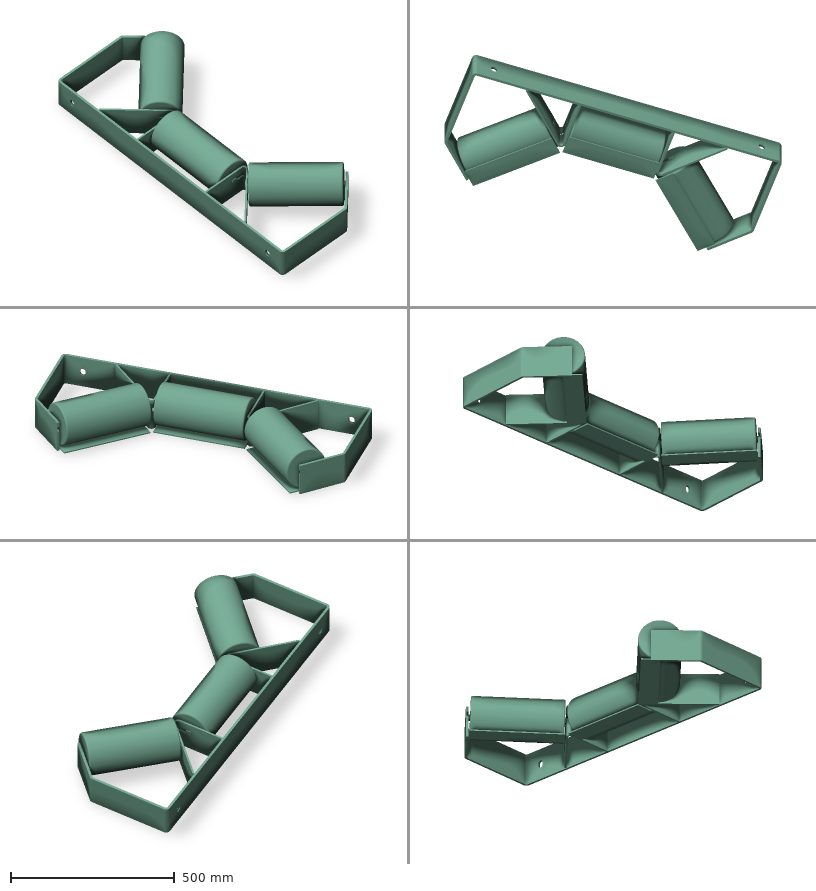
import cadquery as cq
import math

frame_strip = 8.0
bracket_strip = 6.0
height = 102.0
bend_radius = 13.0
ROOT_HALF = math.sqrt(0.5)

half_width = 500.0
side_height = 273.0
arm_length = 154.0
bolt_slot_x = 433.0
bolt_slot_width = 19.0
bolt_slot_length = 24.0
bolt_slot_z = 51.0

roller_diameter = 135.0
roller_length = 290.0
rim_radius = 5.0
center_roller_y = 126.0
center_roller_z = 68.0
wing_roller_x = 299.0
wing_roller_y = 250.0
wing_roller_z = 72.0
wing_tilt = 2.0
arm_spacing = 297.0
shaft_length = 314.0
shaft_diameter = 20.0
shaft_flats = 15.0

plate_length = 295.0
plate_width = 59.0
plate_thickness = 4.0


def bent_strip(outline, strip):
    """Upright strip whose outer face follows outline; its thickness lies to the left."""
    normals = []
    for (x0, y0), (x1, y1) in zip(outline, outline[1:]):
        length = math.hypot(x1 - x0, y1 - y0)
        normals.append(((y0 - y1) / length, (x1 - x0) / length))
    before = normals[:1] + normals
    after = normals + normals[-1:]
    inside = []
    for (x, y), (ax, ay), (bx, by) in zip(outline, before, after):
        reach = strip / (1 + ax * bx + ay * by)
        inside.append((x + reach * (ax + bx), y + reach * (ay + by)))
    body = cq.Workplane("XY").polyline(outline + inside[::-1]).close().extrude(height)
    for corners, radius in ((outline, bend_radius), (inside, bend_radius - strip)):
        for x, y in corners[1:-1]:
            edge = cq.selectors.NearestToPointSelector((x, y, height / 2))
            body = body.edges(edge).fillet(radius)
    return body


def axis_workplane(middle, axis, length):
    """Workplane square to a roller axis at the start of a centred length.

    Its local X is level and points away from the frame's base; its local Y points up.
    """
    level = cq.Vector(0, 0, 1).cross(axis)
    return cq.Workplane(cq.Plane(origin=middle - axis * (length / 2), xDir=level, normal=axis))


def make_shaft(middle, axis):
    """Bar with an upper and a lower flat."""
    start = axis_workplane(middle, axis, shaft_length)
    flats = start.rect(shaft_diameter, shaft_flats).extrude(shaft_length)
    return start.circle(shaft_diameter / 2).extrude(shaft_length).intersect(flats)


def make_roller(middle, axis):
    """Roller with rounded rims and a flatted shaft end on each side."""
    start = axis_workplane(middle, axis, roller_length)
    drum = start.circle(roller_diameter / 2).extrude(roller_length).edges().fillet(rim_radius)
    return drum.union(make_shaft(middle, axis))


def make_plate(middle, axis):
    """Flat plate touching the lowest line of a roller, on the side away from the base."""
    return (axis_workplane(middle, axis, plate_length)
            .center(plate_width / 2, -(roller_diameter + plate_thickness) / 2)
            .rect(plate_width, plate_thickness).extrude(plate_length))


def shaft_slot(middle, axis):
    """Cutter for the slots that hold a roller's shaft ends, open away from the base."""
    mouth_length = 3 * shaft_diameter
    mouth = (axis_workplane(middle, axis, shaft_length).center(mouth_length / 2, 0)
             .rect(mouth_length, shaft_flats).extrude(shaft_length))
    return make_shaft(middle, axis).union(mouth)


def mirrored(body):
    return body.mirror("YZ")


tilt = math.radians(wing_tilt)
wing_run = math.cos(tilt) * ROOT_HALF
center_line = (cq.Vector(0, center_roller_y, center_roller_z), cq.Vector(1, 0, 0))
wing_line = (cq.Vector(wing_roller_x, wing_roller_y, wing_roller_z),
             cq.Vector(wing_run, wing_run, math.sin(tilt)))


def make_frame():
    """Strip bent into a base, two sides and two arms leaning inwards."""
    arm_run = arm_length * ROOT_HALF
    right = [(half_width, 0), (half_width, side_height), (half_width - arm_run, side_height + arm_run)]
    left = [(-x, y) for x, y in right]
    bolt_slots = (cq.Workplane("XZ").pushPoints([(-bolt_slot_x, bolt_slot_z), (bolt_slot_x, bolt_slot_z)])
                  .slot2D(bolt_slot_length, bolt_slot_width, 90).extrude(-frame_strip))
    slot = shaft_slot(*wing_line)
    return bent_strip(left[::-1] + right, frame_strip).cut(bolt_slots).cut(slot).cut(mirrored(slot))


def make_bracket():
    """Right-hand folded strip: an arm for the wing roller and a leg for the middle roller."""
    leg_x = arm_spacing / 2
    arm_sum = wing_roller_x + wing_roller_y - arm_spacing * ROOT_HALF
    foot_y = frame_strip + bracket_strip * ROOT_HALF
    outline = [(arm_sum - foot_y, foot_y), (leg_x, arm_sum - leg_x), (leg_x, frame_strip)]
    return bent_strip(outline, bracket_strip).cut(shaft_slot(*wing_line)).cut(shaft_slot(*center_line))


frame = make_frame()
right_bracket = make_bracket()
brackets = [right_bracket, mirrored(right_bracket)]
rollers = []
plates = []
for make_body, bodies in ((make_roller, rollers), (make_plate, plates)):
    wing_body = make_body(*wing_line)
    bodies += [make_body(*center_line), wing_body, mirrored(wing_body)]

result = cq.Compound.makeCompound([body.val() for body in [frame, *brackets, *rollers, *plates]])